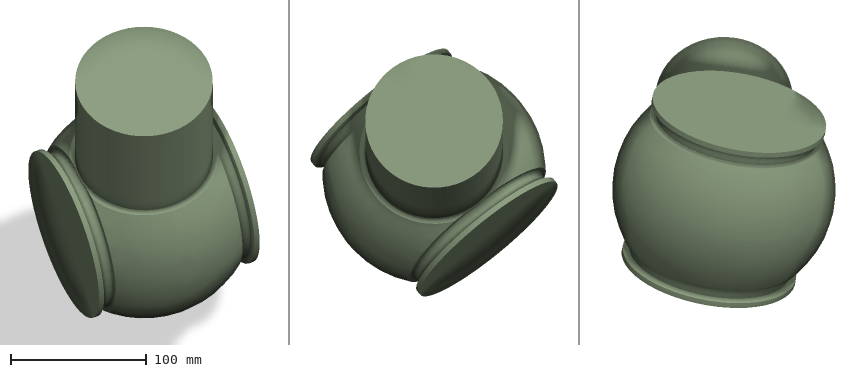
import cadquery as cq

total_height = 234.7
ball_diameter = 165.0
ball_top = 61.5
ball_half_depth = 51.0
stem_diameter = 101.6
fillet_radius = 1.2
neck_diameter = 120.7
flange_diameter = 130.3
overall_depth = 129.3
rim_thickness = 4.0
taper_length = 1.5

ball_radius = ball_diameter / 2
flange_half_depth = overall_depth / 2
stem_top = total_height - ball_radius


def make_ball():
    """Sphere cut flat on top and on the front and back."""
    ball = cq.Workplane("XY").sphere(ball_radius)
    width = 2 * ball_radius
    envelope = cq.Workplane("XY").box(width, 2 * ball_half_depth, ball_radius + ball_top)
    return ball.intersect(envelope.translate((0, 0, (ball_top - ball_radius) / 2)))


def make_stem():
    """Solid round stem with a hollow fillet at the flat of the ball."""
    stem_radius = stem_diameter / 2
    foot_radius = stem_radius + fillet_radius
    profile = (
        cq.Workplane("XZ")
        .lineTo(foot_radius, 0)
        .lineTo(foot_radius, ball_top)
        .radiusArc((stem_radius, ball_top + fillet_radius), fillet_radius)
        .lineTo(stem_radius, stem_top)
        .lineTo(0, stem_top)
        .close()
    )
    return profile.revolve(360, (0, 0, 0), (0, 1, 0))


def make_flanged_neck():
    """Neck along +Y with a fillet at the ball and a tapered flange at its end."""
    neck_radius = neck_diameter / 2
    foot_radius = neck_radius + fillet_radius
    flange_radius = flange_diameter / 2
    rim_start = flange_half_depth - rim_thickness
    taper_start = rim_start - taper_length
    profile = (
        cq.Workplane("XY")
        .lineTo(foot_radius, 0)
        .lineTo(foot_radius, ball_half_depth)
        .radiusArc((neck_radius, ball_half_depth + fillet_radius), fillet_radius)
        .lineTo(neck_radius, taper_start)
        .lineTo(flange_radius, rim_start)
        .lineTo(flange_radius, flange_half_depth)
        .lineTo(0, flange_half_depth)
        .close()
    )
    return profile.revolve(360, (0, 0, 0), (0, 1, 0))


back_neck = make_flanged_neck()
front_neck = back_neck.mirror("XZ")
result = make_ball().union(make_stem()).union(back_neck).union(front_neck)